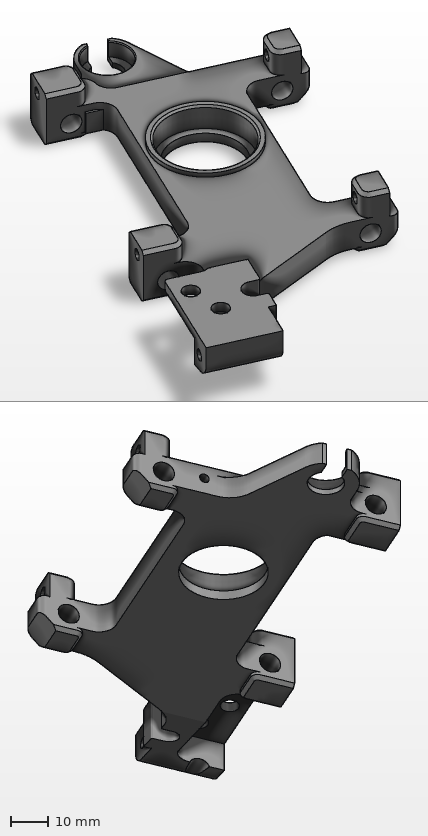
import cadquery as cq
import math

LENGTH = 151.5
WIDTH = 73.5
HEIGHT = 19.0

TOLERANCE = 1.51e-06

PLATE_BOTTOM = 2.0
PLATE_TOP = 11.0
PLATE_FRONT = 18.5
PLATE_REAR = 53.5
CORNER_RADIUS = 5.0

REAR_ARM_WIDTH = 10.1
REAR_LEFT_X = 24.1
REAR_RIGHT_X = 92.0
REAR_LUG_FRONT = 62.5
REAR_LUG_BACK = 70.5
REAR_FOOT_FRONT = 60.5
TONGUE_TOP = 10.1
TONGUE_RADIUS = 2.0
TONGUE_CHAMFER = 5.0

FRONT_LEFT_X = 16.5
FRONT_LEFT_WIDTH = 12.0
FRONT_RIGHT_X = REAR_RIGHT_X
FRONT_RIGHT_WIDTH = 11.0
BLOCK_BACK = 12.0
BLOCK_TOP = 17.0
SHOULDER_Y = 17.1

LUG_RADIUS = 3.0
FOOT_RADIUS = 2.0
EDGE_CHAMFER = 1.0

BEARING_X = 54.8
BEARING_Y = 35.6
RIM_RADIUS = 16.0
RIM_TOP = 12.4
SEAT_RADIUS = 14.1
SEAT_CHAMFER = 0.6
SEAT_FLOOR = 4.8
BEARING_HOLE_RADIUS = 12.0

HOOK_X = 7.9
HOOK_Y = 25.0
HOOK_RADIUS = 9.0
HOOK_WEB_RADIUS = 8.6
HOOK_TOP = 8.8
HOOK_ANGLE = math.radians(30)
HOOK_HOLE_RADIUS = 5.0
HOOK_SEAT_RADIUS = 7.4
HOOK_SEAT_CHAMFER = 0.3
HOOK_SEAT_FLOOR = 3.6
HOOK_MOUTH = 5.9

BRACKET_X = 114.0
BEAM_FRONT = 15.1
BEAM_BACK = 24.2
BEAM_CORNER_RADIUS = 3.0
RAMP_SIZE = 4.1
SHELF_X = 119.0
SHELF_THICKNESS = 3.0
SHELF_CORNER_RADIUS = 1.0
LEG_X = 142.3
STEP_X = 140.0
STEP_Y = 22.0
NOTCH_X = 131.0
NOTCH_WIDTH = 6.5
NOTCH_DEPTH = 6.5
NOTCH_CORNER_RADIUS = 0.6
UNDERSIDE_X = 118.3
UNDERSIDE_ANGLE = math.radians(12)
END_RADIUS = 5.0

SLANT_ANGLE = math.radians(60)
SLANT_FOOT_X = 120.1
SLANT_TOP_RADIUS = 15.1
SLANT_FOOT_RADIUS = 10.0

PIN_RADIUS = 3.0
PIN_Z = 5.9
FRONT_PIN_Y = 7.1
REAR_PIN_Y = 65.1
SCREW_RADIUS = 1.7
FRONT_SCREW_Z = 12.9
REAR_SCREW_Z = 14.8
FRONT_SCREW_X = (21.4, 98.3, 146.1)
SHELF_HOLE_RADIUS = 2.5
SHELF_HOLES = ((126.1, 5.0), (136.1, 9.8))
DRILL_RADIUS = 1.4
DRILL_Y = 53.5
DRILL_Z = 7.0
DRILL_DEPTH = 6.0
DRILL_TIP_ANGLE = math.radians(59)


def rounded_outline(corners, plane="XY"):
    """Closed outline through (x, y) or (x, y, radius) corners."""
    path = None
    count = len(corners)
    for i, corner in enumerate(corners):
        here = cq.Vector(corner[0], corner[1])
        radius = corner[2] if len(corner) > 2 else 0
        if radius:
            before = corners[i - 1]
            after = corners[(i + 1) % count]
            to_before = (cq.Vector(before[0], before[1]) - here).normalized()
            to_after = (cq.Vector(after[0], after[1]) - here).normalized()
            half_angle = to_before.getAngle(to_after) / 2
            tangent = radius / math.tan(half_angle)
            bisector = (to_before + to_after).normalized()
            start = here + to_before * tangent
            middle = here + bisector * (radius / math.sin(half_angle) - radius)
            end = here + to_after * tangent
        else:
            start = here
            end = here
        if path is None:
            path = cq.Workplane(plane).moveTo(start.x, start.y)
        elif (start - previous_end).Length > TOLERANCE:
            path = path.lineTo(start.x, start.y)
        if radius:
            path = path.threePointArc((middle.x, middle.y), (end.x, end.y))
        previous_end = end
    return path.close()


def slab(corners, bottom, top):
    """Rounded outline in plan, raised from bottom to top."""
    return rounded_outline(corners).extrude(top - bottom).translate((0, 0, bottom))


def box(x_range, y_range, z_range):
    (x0, x1), (y0, y1), (z0, z1) = x_range, y_range, z_range
    return cq.Workplane("XY").box(x1 - x0, y1 - y0, z1 - z0, centered=False).translate((x0, y0, z0))


def disc(x, y, radius, bottom, top):
    return cq.Workplane("XY").circle(radius).extrude(top - bottom).translate((x, y, bottom))


def hole_along_x(y, z, radius):
    return cq.Workplane("YZ").center(y, z).circle(radius).extrude(LENGTH)


def hole_along_y(x, z, radius, start, end):
    bore = cq.Workplane("XZ").center(x, z).circle(radius).extrude(start - end)
    return bore.translate((0, start, 0))


def main_plate():
    rear_left_end = REAR_LEFT_X + REAR_ARM_WIDTH
    rear_right_end = REAR_RIGHT_X + REAR_ARM_WIDTH
    front_left_end = FRONT_LEFT_X + FRONT_LEFT_WIDTH
    front_right_end = FRONT_RIGHT_X + FRONT_RIGHT_WIDTH
    slant_top_y = BEAM_BACK + (SLANT_FOOT_X - rear_right_end) * math.tan(SLANT_ANGLE)
    shoulder_length = REAR_LEFT_X - FRONT_LEFT_X
    shoulder_angle = math.asin(1 - shoulder_length / (2 * CORNER_RADIUS))
    shoulder_rise = shoulder_length / 2 * math.tan(shoulder_angle)
    corners = [
        (REAR_LEFT_X, WIDTH, TONGUE_RADIUS),
        (rear_left_end, WIDTH, TONGUE_RADIUS),
        (rear_left_end, PLATE_REAR, CORNER_RADIUS),
        (REAR_RIGHT_X, PLATE_REAR, CORNER_RADIUS),
        (REAR_RIGHT_X, WIDTH, TONGUE_RADIUS),
        (rear_right_end, WIDTH, TONGUE_RADIUS),
        (rear_right_end, slant_top_y, SLANT_TOP_RADIUS),
        (SLANT_FOOT_X, BEAM_BACK, SLANT_FOOT_RADIUS),
        (NOTCH_X - NOTCH_WIDTH / 2 - NOTCH_CORNER_RADIUS, BEAM_BACK),
        (SHELF_X, BEAM_FRONT),
        (front_right_end, BEAM_FRONT, CORNER_RADIUS),
        (front_right_end, 0),
        (FRONT_RIGHT_X, 0),
        (FRONT_RIGHT_X, PLATE_FRONT, CORNER_RADIUS),
        (front_left_end, PLATE_FRONT, CORNER_RADIUS),
        (front_left_end, 0),
        (FRONT_LEFT_X, 0),
        (FRONT_LEFT_X, SHOULDER_Y - shoulder_rise, CORNER_RADIUS),
        (REAR_LEFT_X, SHOULDER_Y + shoulder_rise, CORNER_RADIUS),
    ]
    return slab(corners, PLATE_BOTTOM, PLATE_TOP)


def pad(x, width, y_range, z_range, inner_side, cap_side, radius):
    """Block with two rounded inner corners and a chamfered cap, left sharp on its outer side."""
    outer_side = ">Y" if inner_side == "<Y" else "<Y"
    block = box((x, x + width), y_range, z_range)
    block = block.faces(inner_side).edges("|Z").fillet(radius)
    return block.faces(cap_side).edges("not " + outer_side).chamfer(EDGE_CHAMFER)


def rear_lug(x):
    lug_y = (REAR_LUG_FRONT, REAR_LUG_BACK)
    foot_y = (REAR_FOOT_FRONT, WIDTH)
    lug = pad(x, REAR_ARM_WIDTH, lug_y, (PLATE_BOTTOM, HEIGHT), "<Y", ">Z", LUG_RADIUS)
    foot = pad(x, REAR_ARM_WIDTH, foot_y, (0, PLATE_BOTTOM), "<Y", "<Z", FOOT_RADIUS)
    return lug.union(foot)


def front_block(x, width):
    block_y = (0, BLOCK_BACK)
    block = pad(x, width, block_y, (PLATE_BOTTOM, BLOCK_TOP), ">Y", ">Z", LUG_RADIUS)
    foot = pad(x, width, block_y, (0, PLATE_BOTTOM), ">Y", "<Z", FOOT_RADIUS)
    return block.union(foot)


def rear_end_relief():
    """Lowers the tongues behind the rear lugs and bevels their lower ends."""
    step = box((0, LENGTH), (REAR_LUG_BACK, WIDTH), (TONGUE_TOP, HEIGHT))
    bevel_corners = [(WIDTH, 0), (WIDTH, TONGUE_CHAMFER), (WIDTH - TONGUE_CHAMFER, 0)]
    bevel = cq.Workplane("YZ").polyline(bevel_corners).close().extrude(LENGTH)
    return step.union(bevel)


def hook_plate():
    tangent_x = HOOK_X - HOOK_RADIUS * math.sin(HOOK_ANGLE)
    tangent_y = HOOK_Y + HOOK_RADIUS * math.cos(HOOK_ANGLE)
    root_y = tangent_y + (REAR_LEFT_X - tangent_x) * math.tan(HOOK_ANGLE)
    root_x = REAR_LEFT_X + REAR_ARM_WIDTH / 2
    hook_front = HOOK_Y - HOOK_RADIUS
    web_corners = [
        (HOOK_X, HOOK_Y),
        (tangent_x, tangent_y),
        (REAR_LEFT_X, root_y, HOOK_WEB_RADIUS),
        (REAR_LEFT_X, PLATE_REAR),
        (root_x, PLATE_REAR),
        (root_x, hook_front - CORNER_RADIUS),
        (FRONT_LEFT_X, hook_front - CORNER_RADIUS),
        (FRONT_LEFT_X, hook_front, CORNER_RADIUS),
        (HOOK_X, hook_front),
    ]
    web = slab(web_corners, PLATE_BOTTOM, HOOK_TOP)
    hook = web.union(disc(HOOK_X, HOOK_Y, HOOK_RADIUS, PLATE_BOTTOM, HOOK_TOP))
    flat_end = box((-HOOK_RADIUS, 0), (0, WIDTH), (0, HEIGHT))
    return hook.cut(flat_end)


def seat(x, y, radius, floor, top, chamfer):
    """Round recess that widens at its upper rim."""
    recess = disc(x, y, radius, floor, top)
    flare = cq.Workplane("XY").circle(radius).workplane(offset=chamfer).circle(radius + chamfer).loft()
    return recess.union(flare.translate((x, y, top - chamfer)))


def hook_opening():
    mouth_y = (HOOK_Y - HOOK_MOUTH / 2, HOOK_Y + HOOK_MOUTH / 2)
    mouth = box((0, HOOK_X), mouth_y, (PLATE_BOTTOM, HOOK_TOP))
    hole = disc(HOOK_X, HOOK_Y, HOOK_HOLE_RADIUS, PLATE_BOTTOM, HOOK_TOP)
    recess = seat(HOOK_X, HOOK_Y, HOOK_SEAT_RADIUS, HOOK_SEAT_FLOOR, HOOK_TOP, HOOK_SEAT_CHAMFER)
    return mouth.union(hole).union(recess)


def bearing_opening():
    hole = disc(BEARING_X, BEARING_Y, BEARING_HOLE_RADIUS, PLATE_BOTTOM, RIM_TOP)
    return hole.union(seat(BEARING_X, BEARING_Y, SEAT_RADIUS, SEAT_FLOOR, RIM_TOP, SEAT_CHAMFER))


def bracket():
    """Raised beam and end leg that carry a thin shelf, with a ramp on the left end."""
    back_edge = [
        (LENGTH, STEP_Y),
        (STEP_X, STEP_Y),
        (STEP_X, BEAM_BACK),
        (BRACKET_X, BEAM_BACK, BEAM_CORNER_RADIUS),
        (BRACKET_X, BEAM_FRONT),
    ]
    leg_corners = [(LEG_X, BEAM_FRONT, CORNER_RADIUS), (LEG_X, 0), (LENGTH, 0)]
    shelf_corners = [
        (SHELF_X, BEAM_FRONT, SHELF_X - BRACKET_X),
        (SHELF_X, 0, SHELF_CORNER_RADIUS),
        (LENGTH, 0),
    ]
    body = slab(back_edge + leg_corners, PLATE_BOTTOM, HEIGHT)
    shelf = slab(back_edge + shelf_corners, HEIGHT - SHELF_THICKNESS, HEIGHT)
    ramp_corners = [
        (BRACKET_X, HEIGHT),
        (BRACKET_X, HEIGHT - RAMP_SIZE),
        (BRACKET_X + RAMP_SIZE, HEIGHT),
    ]
    ramp = cq.Workplane("XZ").polyline(ramp_corners).close().extrude(-WIDTH)
    return body.union(shelf).cut(ramp)


def bracket_notch():
    """Round-bottomed notch with softened lips in the back of the beam."""
    half = NOTCH_WIDTH / 2
    floor_y = BEAM_BACK - NOTCH_DEPTH
    lip = NOTCH_CORNER_RADIUS
    outline = (
        cq.Workplane("XY")
        .moveTo(NOTCH_X - half - lip, BEAM_BACK)
        .radiusArc((NOTCH_X - half, BEAM_BACK - lip), lip)
        .lineTo(NOTCH_X - half, floor_y + half)
        .threePointArc((NOTCH_X, floor_y), (NOTCH_X + half, floor_y + half))
        .lineTo(NOTCH_X + half, BEAM_BACK - lip)
        .radiusArc((NOTCH_X + half + lip, BEAM_BACK), lip)
        .close()
    )
    return outline.extrude(HEIGHT)


def underside_relief():
    """Clears everything below the sloping underside and rounded end of the bracket."""
    end_z = PLATE_BOTTOM + (LENGTH - UNDERSIDE_X) * math.tan(UNDERSIDE_ANGLE)
    corners = [
        (UNDERSIDE_X, PLATE_BOTTOM),
        (LENGTH, end_z, END_RADIUS),
        (LENGTH, HEIGHT),
        (LENGTH + END_RADIUS, HEIGHT),
        (LENGTH + END_RADIUS, 0),
        (UNDERSIDE_X, 0),
    ]
    return rounded_outline(corners, "XZ").extrude(-WIDTH)


def drilled_hole():
    """Blind hole with a conical tip in the left face of the plate."""
    tip_length = DRILL_RADIUS / math.tan(DRILL_TIP_ANGLE)
    profile = [(0, 0), (0, DRILL_RADIUS), (DRILL_DEPTH, DRILL_RADIUS), (DRILL_DEPTH + tip_length, 0)]
    drill = cq.Workplane("XY").polyline(profile).close().revolve(360, (0, 0, 0), (1, 0, 0))
    return drill.translate((REAR_LEFT_X, DRILL_Y, DRILL_Z))


result = main_plate()
for arm_x in (REAR_LEFT_X, REAR_RIGHT_X):
    result = result.union(rear_lug(arm_x))
result = result.union(front_block(FRONT_LEFT_X, FRONT_LEFT_WIDTH))
result = result.union(front_block(FRONT_RIGHT_X, FRONT_RIGHT_WIDTH))
result = result.union(hook_plate())
result = result.union(bracket())
result = result.union(disc(BEARING_X, BEARING_Y, RIM_RADIUS, PLATE_BOTTOM, RIM_TOP))

result = result.cut(rear_end_relief())
result = result.cut(underside_relief())
result = result.cut(bracket_notch())
result = result.cut(hook_opening())
result = result.cut(bearing_opening())

for pin_y in (FRONT_PIN_Y, REAR_PIN_Y):
    result = result.cut(hole_along_x(pin_y, PIN_Z, PIN_RADIUS))
for screw_x in FRONT_SCREW_X:
    result = result.cut(hole_along_y(screw_x, FRONT_SCREW_Z, SCREW_RADIUS, 0, BEAM_BACK))
for arm_x in (REAR_LEFT_X, REAR_RIGHT_X):
    screw_x = arm_x + REAR_ARM_WIDTH / 2
    result = result.cut(hole_along_y(screw_x, REAR_SCREW_Z, SCREW_RADIUS, PLATE_REAR, WIDTH))
for hole_x, hole_y in SHELF_HOLES:
    result = result.cut(disc(hole_x, hole_y, SHELF_HOLE_RADIUS, HEIGHT - SHELF_THICKNESS, HEIGHT))
result = result.cut(drilled_hole())